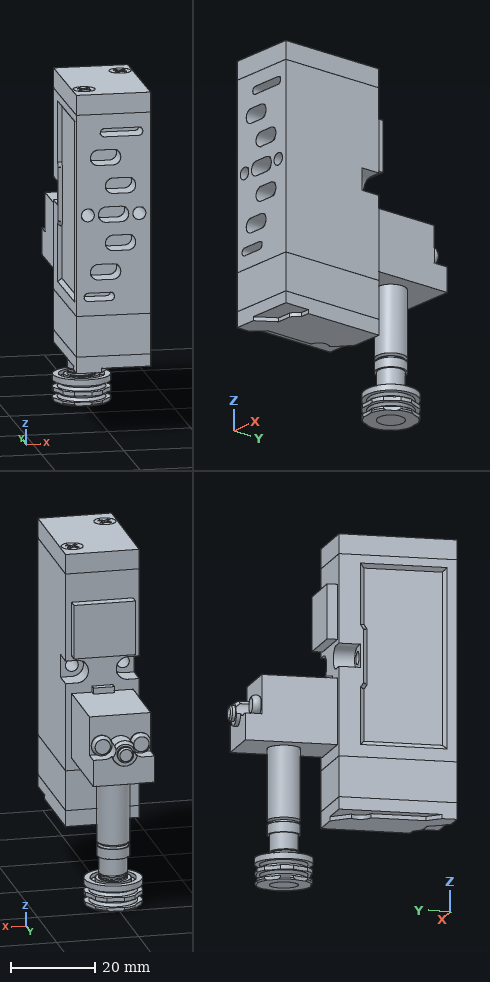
import cadquery as cq
import math


TOTAL_HEIGHT = 84.15

BLOCK_WIDTH = 18.0
BLOCK_DEPTH = 28.95
END_HEIGHT = 4.0
SPACER_HEIGHT = 9.9
BODY_HEIGHT = 49.15
CAP_HEIGHT = 4.9
SPACER_Z = END_HEIGHT
BODY_Z = SPACER_Z + SPACER_HEIGHT
CAP_Z = BODY_Z + BODY_HEIGHT
BLOCK_TOP = CAP_Z + CAP_HEIGHT
SIDE_X = -BLOCK_WIDTH / 2

PORT_CENTRE_Z = BLOCK_TOP - 29.45
PORT_PITCH = 7.0
PORT_LENGTH = 7.3
PORT_HEIGHT = 3.8
PORT_OFFSETS = (-1.9, 1.7, 0, 1.7, -1.9)
PORT_DEPTH = 5.05
PILOT_HEIGHT = 2.0
PILOT_SPACING_Z = 20.0
UPPER_PILOT_X = 1.9
UPPER_PILOT_LENGTH = 10.3
LOWER_PILOT_X = -3.45

MOUNT_X = 6.2
MOUNT_DIAMETER = 3.1
NOTCH_HEIGHT = 5.6
NOTCH_DEPTH = 5.2

POCKET_FRONT_Y = 2.4
POCKET_BACK_Y = BLOCK_DEPTH - 5.3
POCKET_TOP_Z = BLOCK_TOP - 6.9
POCKET_BOTTOM_Z = 17.0
POCKET_DEPTH = 0.8
POCKET_WALL_ANGLE = 50
BUMP_HEIGHT = 0.75
BUMP_HALF_BASE = 7.6
BUMP_HALF_TOP = 6.5

PLATE_WIDTH = 15.0
PLATE_DEPTH = 2.5
PLATE_BOTTOM_Z = BLOCK_TOP - 25.4
PLATE_HEIGHT = 13.4

CAP_SCREW_X = 6.0
CAP_SCREW_SPACING_Y = 17.0
CAP_SCREW_RADIUS = 2.6
CAP_SCREW_DEPTH = 2.5
CAP_SCREW_PLACES = [
    (side * CAP_SCREW_X, BLOCK_DEPTH / 2 + side * CAP_SCREW_SPACING_Y / 2)
    for side in (-1, 1)
]
CROSS_LENGTH = 3.4
CROSS_WIDTH = 0.7
CROSS_DEPTH = 0.7
CROSS_ANGLE = 45

RECESS_DEPTH = 1.0
FOOT_RIGHT_X = -2.95
FOOT_BACK_Y = 3.7
LAND_LEFT_X = -5.8
LAND_LEFT_Y = 6.9
LAND_FRONT_Y = 5.05
LAND_FRONT_X = (0.3, 4.5)
LAND_ARC_MIDDLE = (5.55, 5.8)
LAND_STEP = (6.5, 7.0)
LAND_BACK_X = 0.0
CLEARANCE_CENTRE = (-6.0, 22.9)
CLEARANCE_RADIUS = 2.5
CLEARANCE_END_Y = 24.7

HOUSING_WIDTH = 15.0
HOUSING_BOTTOM_Z = 17.0
HOUSING_TOP_Z = 33.15
LEDGE_Z = 23.6
HOUSING_UPPER_DEPTH = 18.5
HOUSING_LOWER_DEPTH = 22.55
HOUSING_UPPER_Y = BLOCK_DEPTH + HOUSING_UPPER_DEPTH
HOUSING_LOWER_Y = BLOCK_DEPTH + HOUSING_LOWER_DEPTH
TAB_WIDTH = 5.05
TAB_DEPTH = 1.6
TAB_HEIGHT = 1.5

BARREL_RADIUS = 3.0
BARREL_Z = LEDGE_Z + 1.35
BARREL_BEVEL_LENGTH = 1.0
BARREL_END_Y = HOUSING_LOWER_Y + BARREL_BEVEL_LENGTH
BARREL_BEVEL_HEIGHT = 0.6
BUTTON_RADIUS = 1.9
BUTTON_TIP_RADIUS = 1.5
BUTTON_LENGTH = 1.2
BUTTON_TIP_LENGTH = 0.4
HEAD_X = 4.7
HEAD_RADIUS = 2.5
HEAD_BASE_RADIUS = 2.2
HEAD_FACE_RADIUS = 1.85
HEAD_RIM_Y = 0.9
HEAD_DEPTH = 2.0
HEAD_BACK_MIDDLE = (2.4, 0.4)
HEAD_FRONT_MIDDLE = (2.35, 1.5)

STEM_Y = BLOCK_DEPTH + 11.3
STEM_RADIUS = 3.95
NECK_RADIUS = 3.45
GROOVE_TOP_Z = -0.5
GROOVE_HEIGHT = 1.0
GROOVE_LIP_RADIUS = 3.7
COLLAR_BOTTOM_Z = -4.0
THREAD_TOP_Z = -8.1
THREAD_PITCH = 0.75
THREAD_DEPTH = 0.3
THREAD_HALF_WIDTH = 0.3
THREAD_START_ANGLE = 210

KNOB_BOTTOM_Z = BLOCK_TOP - TOTAL_HEIGHT
KNOB_RADIUS = 7.0
KNOB_TOP_Z = -9.7
TOP_RIM_BOTTOM_Z = -11.2
GRIP_RIM_TOP_Z = -12.7
GRIP_RIM_BOTTOM_Z = -13.7
LAST_RIM_TOP_Z = -15.2
LAST_CHAMFER_Z = -15.7
LAST_RIM_BOTTOM_RADIUS = 6.7
GROOVE_EDGE_RADIUS = 5.8
GROOVE_WAIST_RADIUS = 5.3
FACE_GROOVE_RADII = (4.3, 5.5)
FACE_GROOVE_DEPTH = 1.0
SCALLOP_COUNT = 6
SCALLOP_ANGLE = 22.3
SCALLOP_HALF_ANGLE = 17.2
SCALLOP_DEPTH = 0.5


def block(width, y_start, y_end, z_start, z_end):
    """Box centred on X between the given Y and Z limits."""
    box = cq.Workplane("XY").box(width, y_end - y_start, z_end - z_start, centered=(True, False, False))
    return box.translate((0, y_start, z_start))


def rod_along_y(x, z, radius, y_start, y_end):
    """Cylinder parallel to Y."""
    return cq.Workplane("XZ", origin=(x, y_start, z)).circle(radius).extrude(y_start - y_end)


def front_slot(x, z, length, height):
    """Round-ended slot cutter that enters the body from the front face."""
    return cq.Workplane("XZ", origin=(x, 0, z)).slot2D(length, height).extrude(-PORT_DEPTH)


def make_cap():
    cap = block(BLOCK_WIDTH, 0, BLOCK_DEPTH, CAP_Z, BLOCK_TOP)
    pockets = cq.Workplane("XY", origin=(0, 0, BLOCK_TOP)).pushPoints(CAP_SCREW_PLACES)
    return cap.cut(pockets.circle(CAP_SCREW_RADIUS).extrude(-CAP_SCREW_DEPTH))


def make_cap_screw(x, y):
    face = cq.Workplane("XY", origin=(x, y, BLOCK_TOP))
    screw = face.circle(CAP_SCREW_RADIUS).extrude(-CAP_SCREW_DEPTH)
    for angle in (CROSS_ANGLE, CROSS_ANGLE + 90):
        arm = face.transformed(rotate=(0, 0, angle)).rect(CROSS_LENGTH, CROSS_WIDTH)
        screw = screw.cut(arm.extrude(-CROSS_DEPTH))
    return screw


def side_pocket():
    """Pocket cutter whose walls slope inwards from the -X face."""
    bump_y = POCKET_BACK_Y - BUMP_HEIGHT
    outline = [
        (POCKET_FRONT_Y, POCKET_BOTTOM_Z),
        (POCKET_BACK_Y, POCKET_BOTTOM_Z),
        (POCKET_BACK_Y, PORT_CENTRE_Z - BUMP_HALF_BASE),
        (bump_y, PORT_CENTRE_Z - BUMP_HALF_TOP),
        (bump_y, PORT_CENTRE_Z + BUMP_HALF_TOP),
        (POCKET_BACK_Y, PORT_CENTRE_Z + BUMP_HALF_BASE),
        (POCKET_BACK_Y, POCKET_TOP_Z),
        (POCKET_FRONT_Y, POCKET_TOP_Z),
    ]
    side = cq.Workplane("YZ", origin=(SIDE_X, 0, 0))
    return side.polyline(outline).close().extrude(POCKET_DEPTH, taper=POCKET_WALL_ANGLE)


def mount_notch(side):
    """Round-bottomed notch behind a mounting hole, open to the side (-1 or +1) and to the back."""
    notch_y = BLOCK_DEPTH - NOTCH_DEPTH
    round_end = rod_along_y(side * MOUNT_X, PORT_CENTRE_Z, NOTCH_HEIGHT / 2, notch_y, BLOCK_DEPTH)
    opening_width = BLOCK_WIDTH / 2 - MOUNT_X
    opening = cq.Workplane("XY").box(opening_width, NOTCH_DEPTH, NOTCH_HEIGHT)
    opening_x = side * (MOUNT_X + opening_width / 2)
    return round_end.union(opening.translate((opening_x, BLOCK_DEPTH - NOTCH_DEPTH / 2, PORT_CENTRE_Z)))


def make_body():
    body = block(BLOCK_WIDTH, 0, BLOCK_DEPTH, BODY_Z, CAP_Z)
    plate_y = BLOCK_DEPTH + PLATE_DEPTH
    body = body.union(block(PLATE_WIDTH, BLOCK_DEPTH, plate_y, PLATE_BOTTOM_Z, PLATE_BOTTOM_Z + PLATE_HEIGHT))
    body = body.cut(side_pocket())
    top_port_z = PORT_CENTRE_Z + PORT_PITCH * (len(PORT_OFFSETS) - 1) / 2
    for index, x in enumerate(PORT_OFFSETS):
        body = body.cut(front_slot(x, top_port_z - index * PORT_PITCH, PORT_LENGTH, PORT_HEIGHT))
    upper_z = PORT_CENTRE_Z + PILOT_SPACING_Z
    lower_z = PORT_CENTRE_Z - PILOT_SPACING_Z
    body = body.cut(front_slot(UPPER_PILOT_X, upper_z, UPPER_PILOT_LENGTH, PILOT_HEIGHT))
    body = body.cut(front_slot(LOWER_PILOT_X, lower_z, PORT_LENGTH, PILOT_HEIGHT))
    for side in (-1, 1):
        body = body.cut(rod_along_y(side * MOUNT_X, PORT_CENTRE_Z, MOUNT_DIAMETER / 2, 0, BLOCK_DEPTH))
        body = body.cut(mount_notch(side))
    return body


def make_spacer():
    return block(BLOCK_WIDTH, 0, BLOCK_DEPTH, SPACER_Z, BODY_Z)


def bottom_land():
    """Land left standing under the end block, scooped out around one corner."""
    centre_x, centre_y = CLEARANCE_CENTRE
    scoop_start_y = centre_y - math.sqrt(CLEARANCE_RADIUS**2 - (LAND_LEFT_X - centre_x) ** 2)
    scoop_end_x = centre_x + math.sqrt(CLEARANCE_RADIUS**2 - (CLEARANCE_END_Y - centre_y) ** 2)
    scoop_middle = (centre_x + CLEARANCE_RADIUS, centre_y)
    return (
        cq.Workplane("XY")
        .moveTo(SIDE_X, 0)
        .lineTo(FOOT_RIGHT_X, 0)
        .lineTo(LAND_FRONT_X[0], LAND_FRONT_Y)
        .lineTo(LAND_FRONT_X[1], LAND_FRONT_Y)
        .threePointArc(LAND_ARC_MIDDLE, LAND_STEP)
        .lineTo(-SIDE_X, LAND_STEP[1])
        .lineTo(-SIDE_X, BLOCK_DEPTH)
        .lineTo(LAND_BACK_X, BLOCK_DEPTH)
        .lineTo(scoop_end_x, CLEARANCE_END_Y)
        .threePointArc(scoop_middle, (LAND_LEFT_X, scoop_start_y))
        .lineTo(LAND_LEFT_X, LAND_LEFT_Y)
        .lineTo(SIDE_X, FOOT_BACK_Y)
        .close()
        .extrude(RECESS_DEPTH)
    )


def make_end_block():
    return block(BLOCK_WIDTH, 0, BLOCK_DEPTH, RECESS_DEPTH, SPACER_Z).union(bottom_land())


def housing_barrel():
    """Barrel along Y on a web, bevelled at its end and hollowed on both sides to clear the heads."""
    bevel_y = HOUSING_LOWER_Y
    barrel = rod_along_y(0, BARREL_Z, BARREL_RADIUS, HOUSING_UPPER_Y, BARREL_END_Y)
    cone = (
        cq.Workplane("XZ", origin=(0, bevel_y, BARREL_Z))
        .circle(BARREL_RADIUS)
        .workplane(offset=-BARREL_BEVEL_LENGTH)
        .circle(BARREL_RADIUS - BARREL_BEVEL_HEIGHT)
        .loft()
    )
    bevel = rod_along_y(0, BARREL_Z, BARREL_RADIUS, bevel_y, BARREL_END_Y).cut(cone)
    head_z = LEDGE_Z + HEAD_RADIUS
    upper_part = block(2 * BARREL_RADIUS, bevel_y, BARREL_END_Y, head_z, BARREL_Z + BARREL_RADIUS)
    barrel = barrel.cut(bevel.intersect(upper_part))
    barrel = barrel.union(block(2 * HEAD_X, HOUSING_UPPER_Y, HOUSING_LOWER_Y, LEDGE_Z, head_z))
    for side in (-1, 1):
        barrel = barrel.cut(rod_along_y(side * HEAD_X, head_z, HEAD_RADIUS, HOUSING_UPPER_Y, BARREL_END_Y))
    return barrel


def housing_button():
    """Button on the end of the barrel, with a tapered tip."""
    straight_y = BUTTON_LENGTH - BUTTON_TIP_LENGTH
    profile = [
        (0, 0),
        (BUTTON_RADIUS, 0),
        (BUTTON_RADIUS, straight_y),
        (BUTTON_TIP_RADIUS, BUTTON_LENGTH),
        (0, BUTTON_LENGTH),
    ]
    button = cq.Workplane("XY").polyline(profile).close().revolve(360, (0, 0, 0), (0, 1, 0))
    return button.translate((0, BARREL_END_Y, BARREL_Z))


def housing_screw_head(x):
    """Rounded screw head on the wall above the ledge."""
    head = (
        cq.Workplane("XY")
        .lineTo(HEAD_BASE_RADIUS, 0)
        .threePointArc(HEAD_BACK_MIDDLE, (HEAD_RADIUS, HEAD_RIM_Y))
        .threePointArc(HEAD_FRONT_MIDDLE, (HEAD_FACE_RADIUS, HEAD_DEPTH))
        .lineTo(0, HEAD_DEPTH)
        .close()
        .revolve(360, (0, 0, 0), (0, 1, 0))
    )
    return head.translate((x, HOUSING_UPPER_Y, LEDGE_Z + HEAD_RADIUS))


def make_housing():
    housing = block(HOUSING_WIDTH, BLOCK_DEPTH, HOUSING_LOWER_Y, HOUSING_BOTTOM_Z, LEDGE_Z)
    housing = housing.union(block(HOUSING_WIDTH, BLOCK_DEPTH, HOUSING_UPPER_Y, LEDGE_Z, HOUSING_TOP_Z))
    tab_top = HOUSING_TOP_Z + TAB_HEIGHT
    housing = housing.union(block(TAB_WIDTH, BLOCK_DEPTH, BLOCK_DEPTH + TAB_DEPTH, HOUSING_TOP_Z, tab_top))
    housing = housing.union(housing_barrel())
    housing = housing.union(housing_button())
    for x in (-HEAD_X, HEAD_X):
        housing = housing.union(housing_screw_head(x))
    return housing


def turned(profile):
    """Solid of revolution about the stem axis from (radius, z) points."""
    solid = cq.Workplane("XZ").polyline(profile).close().revolve(360, (0, 0, 0), (0, 1, 0))
    return solid.translate((0, STEM_Y, 0))


def thread_groove():
    """Helical V groove cutter around the neck, from the thread start down to the knob."""
    length = THREAD_TOP_Z - KNOB_TOP_Z
    path = cq.Wire.makeHelix(THREAD_PITCH, length, NECK_RADIUS)
    tip = NECK_RADIUS - THREAD_DEPTH
    outside = NECK_RADIUS + THREAD_DEPTH
    profile = [(tip, 0), (outside, THREAD_HALF_WIDTH), (outside, -THREAD_HALF_WIDTH)]
    groove = cq.Workplane("XZ").polyline(profile).close().sweep(cq.Workplane(path), isFrenet=True)
    return groove.rotate((0, 0, 0), (0, 0, 1), THREAD_START_ANGLE).translate((0, STEM_Y, KNOB_TOP_Z))


def make_stem():
    groove_bottom = GROOVE_TOP_Z - GROOVE_HEIGHT
    stem = turned([
        (0, HOUSING_BOTTOM_Z),
        (STEM_RADIUS, HOUSING_BOTTOM_Z),
        (STEM_RADIUS, GROOVE_TOP_Z),
        (NECK_RADIUS, GROOVE_TOP_Z - GROOVE_HEIGHT / 2),
        (GROOVE_LIP_RADIUS, groove_bottom),
        (STEM_RADIUS, groove_bottom),
        (STEM_RADIUS, COLLAR_BOTTOM_Z),
        (NECK_RADIUS, COLLAR_BOTTOM_Z),
        (NECK_RADIUS, KNOB_BOTTOM_Z),
        (0, KNOB_BOTTOM_Z),
    ])
    return stem.cut(thread_groove())


def scallops():
    """Cylinders that cut finger scallops into the two lower rims."""
    half_chord = KNOB_RADIUS * math.sin(math.radians(SCALLOP_HALF_ANGLE))
    chord_distance = KNOB_RADIUS * math.cos(math.radians(SCALLOP_HALF_ANGLE))
    floor_distance = KNOB_RADIUS - SCALLOP_DEPTH
    depth_at_chord = chord_distance - floor_distance
    radius = (half_chord**2 + depth_at_chord**2) / (2 * depth_at_chord)
    return (
        cq.Workplane("XY", origin=(0, STEM_Y, KNOB_BOTTOM_Z))
        .polarArray(floor_distance + radius, SCALLOP_ANGLE, 360, SCALLOP_COUNT)
        .circle(radius)
        .extrude(GRIP_RIM_TOP_Z - KNOB_BOTTOM_Z)
    )


def make_knob():
    upper_waist = (TOP_RIM_BOTTOM_Z + GRIP_RIM_TOP_Z) / 2
    lower_waist = (GRIP_RIM_BOTTOM_Z + LAST_RIM_TOP_Z) / 2
    knob = turned([
        (NECK_RADIUS, KNOB_TOP_Z),
        (KNOB_RADIUS, KNOB_TOP_Z),
        (KNOB_RADIUS, TOP_RIM_BOTTOM_Z),
        (GROOVE_EDGE_RADIUS, TOP_RIM_BOTTOM_Z),
        (GROOVE_WAIST_RADIUS, upper_waist),
        (GROOVE_EDGE_RADIUS, GRIP_RIM_TOP_Z),
        (KNOB_RADIUS, GRIP_RIM_TOP_Z),
        (KNOB_RADIUS, GRIP_RIM_BOTTOM_Z),
        (GROOVE_EDGE_RADIUS, GRIP_RIM_BOTTOM_Z),
        (GROOVE_WAIST_RADIUS, lower_waist),
        (GROOVE_EDGE_RADIUS, LAST_RIM_TOP_Z),
        (KNOB_RADIUS, LAST_RIM_TOP_Z),
        (KNOB_RADIUS, LAST_CHAMFER_Z),
        (LAST_RIM_BOTTOM_RADIUS, KNOB_BOTTOM_Z),
        (NECK_RADIUS, KNOB_BOTTOM_Z),
    ])
    inner, outer = FACE_GROOVE_RADII
    face = cq.Workplane("XY", origin=(0, STEM_Y, KNOB_TOP_Z))
    knob = knob.cut(face.circle(outer).circle(inner).extrude(-FACE_GROOVE_DEPTH))
    return knob.cut(scallops())


cap = make_cap()
cap_screws = [make_cap_screw(x, y) for x, y in CAP_SCREW_PLACES]
body = make_body()
spacer = make_spacer()
end_block = make_end_block()
housing = make_housing()
stem = make_stem()
knob = make_knob()

result = cq.Compound.makeCompound([
    cap.val(),
    *[screw.val() for screw in cap_screws],
    body.val(),
    spacer.val(),
    end_block.val(),
    housing.val(),
    stem.val(),
    knob.val(),
])